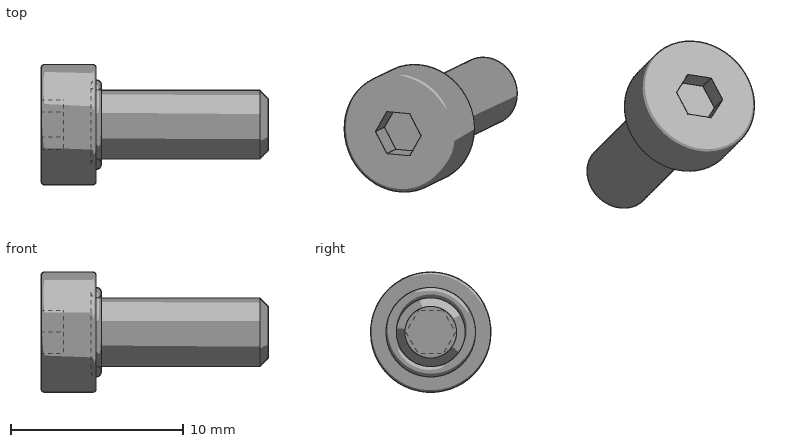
import cadquery as cq
import math

head_diameter = 7.0
head_height = 3.2
head_edge_radius = 0.2

shank_diameter = 4.0
shank_length = 10.0
tip_chamfer = 0.5

hex_across_flats = 2.5
hex_depth = 1.3

ring_cord_diameter = 0.6

head_radius = head_diameter / 2
shank_radius = shank_diameter / 2
ring_cord_radius = ring_cord_diameter / 2
ring_centre_radius = shank_radius + ring_cord_radius
ring_outer_radius = shank_radius + ring_cord_diameter

X_AXIS_START = (0, 0, 0)
X_AXIS_END = (1, 0, 0)


def make_screw_blank():
    """Head and shank turned about X, with a half-round groove for the O-ring under the head."""
    head_inner_radius = head_radius - head_edge_radius
    arc_reach = head_edge_radius * math.sqrt(0.5)
    arc_middle_radius = head_inner_radius + arc_reach
    front_arc_centre = -head_height + head_edge_radius
    back_arc_centre = -head_edge_radius

    profile = (
        cq.Workplane("XZ")
        .moveTo(-head_height, 0)
        .lineTo(-head_height, head_inner_radius)
        .threePointArc((front_arc_centre - arc_reach, arc_middle_radius), (front_arc_centre, head_radius))
        .lineTo(back_arc_centre, head_radius)
        .threePointArc((back_arc_centre + arc_reach, arc_middle_radius), (0, head_inner_radius))
        .lineTo(0, ring_outer_radius)
        .threePointArc((-ring_cord_radius, ring_centre_radius), (0, shank_radius))
        .lineTo(shank_length - tip_chamfer, shank_radius)
        .lineTo(shank_length, shank_radius - tip_chamfer)
        .lineTo(shank_length, 0)
        .close()
    )
    return profile.revolve(360, X_AXIS_START, X_AXIS_END)


def make_hex_socket():
    """Flat-bottomed hexagon cutter with two corners on the Y axis."""
    hex_across_corners = hex_across_flats / math.cos(math.pi / 6)
    return (
        cq.Workplane("YZ", origin=(-head_height, 0, 0))
        .polygon(6, hex_across_corners)
        .extrude(hex_depth)
    )


def make_screw():
    return make_screw_blank().cut(make_hex_socket())


def make_o_ring():
    cord_section = cq.Workplane("XZ").center(0, ring_centre_radius).circle(ring_cord_radius)
    return cord_section.revolve(360, (0, -ring_centre_radius, 0), (1, -ring_centre_radius, 0))


screw = make_screw()
o_ring = make_o_ring()

result = cq.Compound.makeCompound([screw.val(), o_ring.val()])